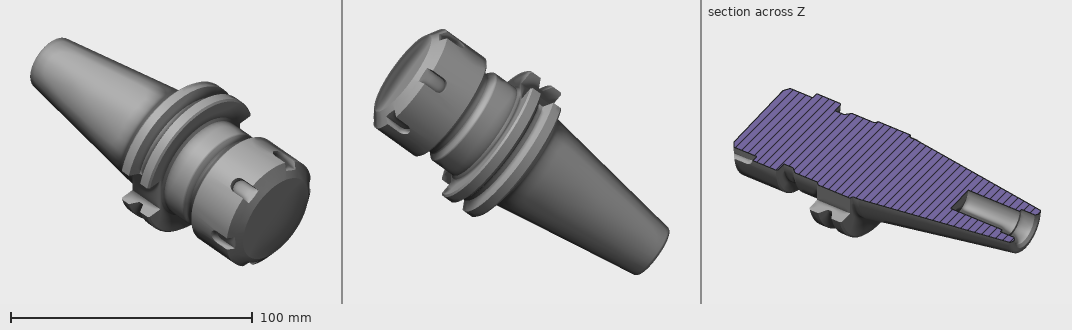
import cadquery as cq
import math

TAPER_END = 68.2
FLANGE_START = 71.4
FLANGE_END = 87.5
SHOULDER_END = 99.5
NUT_START = 106.1
NUT_CONE_START = 127.3
TOTAL_LENGTH = 131.2

BODY_RADIUS = 44.5 / 2
SHANK_TIP_RADIUS = 23.9 / 2
SHANK_TIP_FILLET = 1.6

FLANGE_RADIUS = 63.4 / 2
FLANGE_CHAMFER = 0.8
FLANGE_FILLET = 0.8
FLANGE_BACK_CHAMFER = 1.0
GROOVE_START = 76.1
GROOVE_END = 82.6
GROOVE_FLOOR_WIDTH = 2.0
GROOVE_FLANK_ANGLE = 60
GROOVE_FLOOR_RADIUS = 27.8
DRIVE_SLOT_WIDTH = 16.5
DRIVE_SLOT_FLOOR = 23.6

NECK_RADIUS = 39.9 / 2
SHOULDER_FILLET = 0.9
NUT_RADIUS = 50.0 / 2
NUT_EDGE_CHAMFER = 0.7
NUT_FACE_RADIUS = 19.3
WRENCH_SLOT_COUNT = 6
WRENCH_SLOT_WIDTH = 6.5
WRENCH_SLOT_START = 118.3
WRENCH_SLOT_END = 129.4

MOUTH_RADIUS = 9.3
RECESS_RADIUS = 16.3 / 2
RECESS_DEPTH = 7.6
BORE_RADIUS = 13.4 / 2
BORE_DEPTH = 32.8
MOUTH_CONE_LENGTH = 1.2


def revolve_about_x(profile_points):
    """Turn a closed (x, radius) outline around the X axis."""
    outline = cq.Workplane("XY").polyline(profile_points).close()
    return outline.revolve(360, (0, 0, 0), (1, 0, 0))


def cylinder_along_x(start, end, radius):
    return cq.Workplane("YZ").workplane(offset=start).circle(radius).extrude(end - start)


def make_shank():
    shank = revolve_about_x([
        (0, 0),
        (0, SHANK_TIP_RADIUS),
        (TAPER_END, BODY_RADIUS),
        (FLANGE_START, BODY_RADIUS),
        (FLANGE_START, 0),
    ])
    return shank.faces("<X").edges().fillet(SHANK_TIP_FILLET)


def make_flange():
    flange = cylinder_along_x(FLANGE_START, FLANGE_END, FLANGE_RADIUS)
    flange = flange.edges().chamfer(FLANGE_CHAMFER)

    flank_length = (GROOVE_END - GROOVE_START - GROOVE_FLOOR_WIDTH) / 2
    flank_radius = FLANGE_RADIUS - flank_length * math.tan(math.radians(GROOVE_FLANK_ANGLE))
    floor_start = GROOVE_START + flank_length
    floor_end = GROOVE_END - flank_length
    groove = revolve_about_x([
        (GROOVE_START, FLANGE_RADIUS),
        (floor_start, flank_radius),
        (floor_start, GROOVE_FLOOR_RADIUS),
        (floor_end, GROOVE_FLOOR_RADIUS),
        (floor_end, flank_radius),
        (GROOVE_END, FLANGE_RADIUS),
    ])
    flange = flange.cut(groove)

    flange_length = FLANGE_END - FLANGE_START
    flange_middle = (FLANGE_START + FLANGE_END) / 2
    slot_depth = FLANGE_RADIUS - DRIVE_SLOT_FLOOR
    for side in (-1, 1):
        slot = cq.Workplane("XY").box(flange_length, slot_depth, DRIVE_SLOT_WIDTH)
        slot_y = side * (DRIVE_SLOT_FLOOR + slot_depth / 2)
        flange = flange.cut(slot.translate((flange_middle, slot_y, 0)))
    return flange


def make_front_fillet():
    """Concave ring that blends the body into the front face of the flange."""
    outline = (
        cq.Workplane("XY")
        .moveTo(FLANGE_START - FLANGE_FILLET, 0)
        .lineTo(FLANGE_START - FLANGE_FILLET, BODY_RADIUS)
        .radiusArc((FLANGE_START, BODY_RADIUS + FLANGE_FILLET), -FLANGE_FILLET)
        .lineTo(FLANGE_START, 0)
        .close()
    )
    return outline.revolve(360, (0, 0, 0), (1, 0, 0))


def make_shoulder_and_neck():
    slope_end = SHOULDER_END + BODY_RADIUS - NECK_RADIUS
    shoulder = revolve_about_x([
        (FLANGE_END, 0),
        (FLANGE_END, BODY_RADIUS + FLANGE_BACK_CHAMFER),
        (FLANGE_END + FLANGE_BACK_CHAMFER, BODY_RADIUS),
        (SHOULDER_END, BODY_RADIUS),
        (slope_end, NECK_RADIUS),
        (NUT_START, NECK_RADIUS),
        (NUT_START, 0),
    ])
    body_middle = (FLANGE_END + SHOULDER_END) / 2
    neck_middle = (slope_end + NUT_START) / 2
    slope_ends = shoulder.edges("%CIRCLE").filter(
        lambda edge: body_middle < edge.Center().x < neck_middle
    )
    return slope_ends.fillet(SHOULDER_FILLET)


def make_nut():
    nut = revolve_about_x([
        (NUT_START, 0),
        (NUT_START, NUT_RADIUS - NUT_EDGE_CHAMFER),
        (NUT_START + NUT_EDGE_CHAMFER, NUT_RADIUS),
        (NUT_CONE_START, NUT_RADIUS),
        (TOTAL_LENGTH, NUT_FACE_RADIUS),
        (TOTAL_LENGTH, 0),
    ])

    cone_slope = (NUT_RADIUS - NUT_FACE_RADIUS) / (TOTAL_LENGTH - NUT_CONE_START)
    slot_floor = NUT_FACE_RADIUS + (TOTAL_LENGTH - WRENCH_SLOT_END) * cone_slope
    slot_depth = NUT_RADIUS - slot_floor
    round_center = WRENCH_SLOT_START + WRENCH_SLOT_WIDTH / 2
    straight_length = TOTAL_LENGTH - round_center
    floor_plane = cq.Workplane("XY").workplane(offset=slot_floor)
    round_end = floor_plane.center(round_center, 0).circle(WRENCH_SLOT_WIDTH / 2).extrude(slot_depth)
    straight = (
        floor_plane.center(round_center + straight_length / 2, 0)
        .rect(straight_length, WRENCH_SLOT_WIDTH)
        .extrude(slot_depth)
    )
    slot = round_end.union(straight)
    for index in range(WRENCH_SLOT_COUNT):
        angle = 90 + index * 360 / WRENCH_SLOT_COUNT
        nut = nut.cut(slot.rotate((0, 0, 0), (1, 0, 0), angle))
    return nut


def make_bore():
    return revolve_about_x([
        (0, 0),
        (0, MOUTH_RADIUS),
        (MOUTH_CONE_LENGTH, RECESS_RADIUS),
        (RECESS_DEPTH, RECESS_RADIUS),
        (RECESS_DEPTH, BORE_RADIUS),
        (BORE_DEPTH, BORE_RADIUS),
        (BORE_DEPTH, 0),
    ])


result = (
    make_shank()
    .union(make_front_fillet())
    .union(make_flange())
    .union(make_shoulder_and_neck())
    .union(make_nut())
    .cut(make_bore())
)